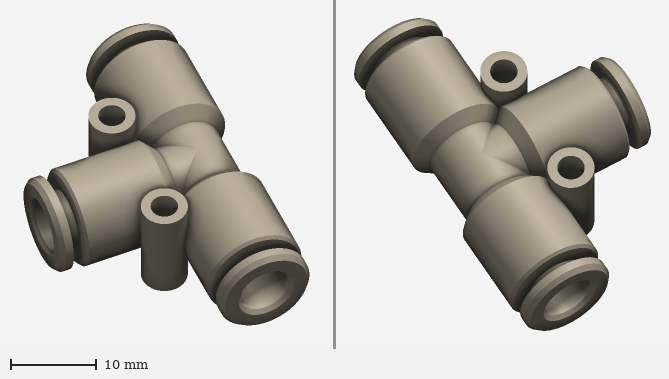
import cadquery as cq

REACH = 19.9
ARM_ANGLES = (0, 180, -90)

BODY_D = 12.0
BODY_END = 16.75
BODY_END_CHAMFER = 0.35
CORE_D = 9.0
SHOULDER_START = 5.7
SHOULDER_LENGTH = (BODY_D - CORE_D) / 2

COLLAR_D = 11.5
COLLAR_THICKNESS = 1.6
COLLAR_CHAMFER_LENGTH = 0.6
COLLAR_CHAMFER_DEPTH = 0.5
NECK_D = 7.1
NECK_FLARE = 0.2

FLOW_BORE_D = 5.0
TUBE_BORE_D = 6.15
TUBE_STOP = SHOULDER_START
MOUTH_D = 7.1
MOUTH_DEPTH = (MOUTH_D - TUBE_BORE_D) / 2

EYELET_D = 5.5
EYELET_HOLE_D = 3.2
EYELET_OFFSET = 7.6


def revolve_about_x(points):
    """Solid of revolution about X from (x, radius) points."""
    profile = cq.Workplane("XY").polyline(points).close()
    return profile.revolve(360, (0, 0, 0), (1, 0, 0))


def arm_outside():
    """Socket with its shoulder, neck and collar, pointing to +X."""
    core_r = CORE_D / 2
    body_r = BODY_D / 2
    neck_r = NECK_D / 2
    collar_r = COLLAR_D / 2
    collar_back = REACH - COLLAR_THICKNESS
    return revolve_about_x([
        (0, 0),
        (0, core_r),
        (SHOULDER_START - SHOULDER_LENGTH, core_r),
        (SHOULDER_START, body_r),
        (BODY_END - BODY_END_CHAMFER, body_r),
        (BODY_END, body_r - BODY_END_CHAMFER),
        (BODY_END, neck_r),
        (collar_back - NECK_FLARE, neck_r),
        (collar_back, neck_r + NECK_FLARE),
        (collar_back, collar_r),
        (REACH - COLLAR_CHAMFER_LENGTH, collar_r),
        (REACH, collar_r - COLLAR_CHAMFER_DEPTH),
        (REACH, 0),
    ])


def arm_passage():
    """Flow bore, tube bore and countersunk mouth, pointing to +X."""
    flow_r = FLOW_BORE_D / 2
    tube_r = TUBE_BORE_D / 2
    return revolve_about_x([
        (0, 0),
        (0, flow_r),
        (TUBE_STOP, flow_r),
        (TUBE_STOP, tube_r),
        (REACH - MOUTH_DEPTH, tube_r),
        (REACH, MOUTH_D / 2),
        (REACH, 0),
    ])


def copy_to_arms(shape):
    """Union of one copy of the +X shape for each arm of the tee."""
    combined = cq.Workplane("XY")
    for angle in ARM_ANGLES:
        combined = combined.add(shape.rotate((0, 0, 0), (0, 0, 1), angle))
    return combined.combine()


def upright_pair(diameter):
    """Two cylinders along Z, as tall as the body, at the eyelet positions."""
    centres = [(side * EYELET_OFFSET, -EYELET_OFFSET) for side in (-1, 1)]
    plane = cq.Workplane("XY").pushPoints(centres)
    return plane.circle(diameter / 2).extrude(BODY_D / 2, both=True)


fitting = copy_to_arms(arm_outside()).union(upright_pair(EYELET_D))
fitting = fitting.cut(copy_to_arms(arm_passage()))
result = fitting.cut(upright_pair(EYELET_HOLE_D))